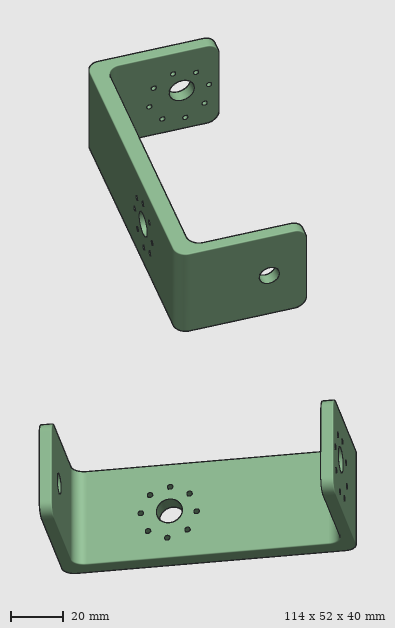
import cadquery as cq
import math

LENGTH = 114.0
DEPTH = 52.0
HEIGHT = 40.0

ARM_THICKNESS = 5.0
BASE_THICKNESS = 7.0
BEND_RADIUS = 5.0
ARM_CORNER_RADIUS = 5.0
EDGE_RADIUS = 0.5

LARGE_BORE_DIAMETER = 10.0
SMALL_BORE_DIAMETER = 8.0
SCREW_HOLE_DIAMETER = 2.0
SCREW_HOLE_COUNT = 8

BASE_BORE_X = 14.9
BASE_CIRCLE_OFFSET = (0.2, -0.6)
BASE_CIRCLE_RADIUS = 10.8
BASE_CIRCLE_ANGLE = 3.0

ARM_BORE_Y = DEPTH - 15.0
ARM_CIRCLE_OFFSET = (-1.0, -2.4)
ARM_CIRCLE_RADIUS = 12.2
ARM_CIRCLE_ANGLE = 11.5


def screw_circle(bore_position, offset, radius, start_angle):
    """Return the centres of screw holes spaced evenly around a circle."""
    centre_u = bore_position + offset[0]
    centre_v = offset[1]
    centres = []
    for index in range(SCREW_HOLE_COUNT):
        angle = math.radians(start_angle + index * 360 / SCREW_HOLE_COUNT)
        centres.append((centre_u + radius * math.cos(angle), centre_v + radius * math.sin(angle)))
    return centres


def drill(plane, centres, diameter, depth):
    """Return cylinders that start on the plane and run along its normal."""
    return cq.Workplane(plane).pushPoints(centres).circle(diameter / 2).extrude(depth)


def make_bracket():
    """Build the U with its bends, rounded arm corners and softened rims."""
    outer = cq.Workplane("XY").box(LENGTH, DEPTH, HEIGHT, centered=(True, False, True))
    outer = outer.edges("|Z and <Y").fillet(BEND_RADIUS)
    outer = outer.edges("|X and >Y").fillet(ARM_CORNER_RADIUS)

    cavity = cq.Workplane("XY").box(
        LENGTH - 2 * ARM_THICKNESS, DEPTH, HEIGHT, centered=(True, False, True)
    )
    cavity = cavity.edges("|Z and <Y").fillet(BEND_RADIUS).translate((0, BASE_THICKNESS, 0))
    bracket = outer.cut(cavity)

    return bracket.edges("|Z and >Y").fillet(EDGE_RADIUS)


base_plane = cq.Plane(origin=(0, 0, 0), xDir=(1, 0, 0), normal=(0, -1, 0))
left_plane = cq.Plane(origin=(-LENGTH / 2, 0, 0), xDir=(0, 1, 0), normal=(1, 0, 0))
right_plane = cq.Plane(origin=(LENGTH / 2, 0, 0), xDir=(0, 1, 0), normal=(1, 0, 0))

base_screws = screw_circle(BASE_BORE_X, BASE_CIRCLE_OFFSET, BASE_CIRCLE_RADIUS, BASE_CIRCLE_ANGLE)
arm_screws = screw_circle(ARM_BORE_Y, ARM_CIRCLE_OFFSET, ARM_CIRCLE_RADIUS, ARM_CIRCLE_ANGLE)

result = make_bracket()

result = result.cut(drill(base_plane, [(BASE_BORE_X, 0)], LARGE_BORE_DIAMETER, -BASE_THICKNESS))
result = result.cut(drill(base_plane, base_screws, SCREW_HOLE_DIAMETER, -BASE_THICKNESS))
result = result.cut(drill(left_plane, [(ARM_BORE_Y, 0)], LARGE_BORE_DIAMETER, ARM_THICKNESS))
result = result.cut(drill(left_plane, arm_screws, SCREW_HOLE_DIAMETER, ARM_THICKNESS))
result = result.cut(drill(right_plane, [(ARM_BORE_Y, 0)], SMALL_BORE_DIAMETER, -ARM_THICKNESS))